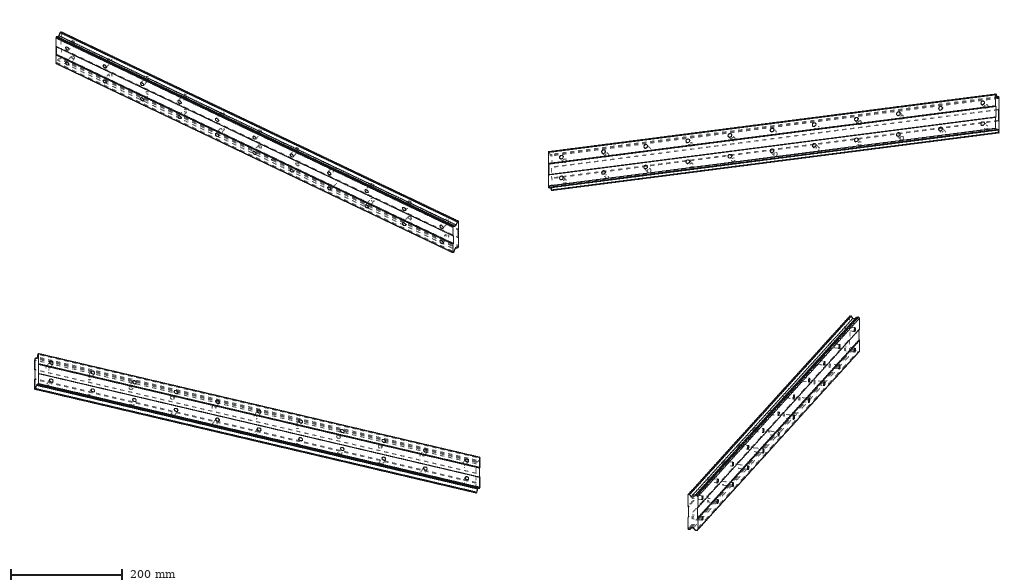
import cadquery as cq

length = 850.0
thickness = 19.0
height = 69.0

lip_thickness = 3.0
lip_chamfer = 1.0
groove_depth = 4.0
groove_floor_width = 4.0
groove_front_slope = 2.5
bead_flank_width = 4.0
bead_knee_width = 2.0
bead_knee_rise = 2.1
bead_chamfer_width = 2.0
bead_chamfer_drop = 2.1

channel_floor_width = 20.0
channel_depth = 1.0

hole_diameter = 7.0
hole_row_spacing = 40.0
hole_count = 11
hole_end_margin = 25.0
hole_pitch = (length - 2 * hole_end_margin) / (hole_count - 1)

front = -thickness / 2
rear = thickness / 2
top = height / 2


def upper_profile():
    """Upper half outline (Y, Z), from the front channel floor over the top edge to the rear one."""
    channel_floor_half = channel_floor_width / 2
    channel_mouth_half = channel_floor_half + channel_depth
    lip_rear = front + lip_thickness
    groove_floor = top - groove_depth
    floor_front = lip_rear + groove_front_slope
    floor_rear = floor_front + groove_floor_width
    return [
        (front + channel_depth, channel_floor_half),
        (front, channel_mouth_half),
        (front, top - lip_chamfer),
        (front + lip_chamfer, top),
        (lip_rear, top),
        (floor_front, groove_floor),
        (floor_rear, groove_floor),
        (floor_rear + bead_knee_width, groove_floor + bead_knee_rise),
        (floor_rear + bead_flank_width, top),
        (rear - bead_chamfer_width, top),
        (rear, top - bead_chamfer_drop),
        (rear, channel_mouth_half),
        (rear - channel_depth, channel_floor_half),
    ]


def make_bar():
    """Extrude the profile, symmetric about the mid-height plane, along X."""
    upper = upper_profile()
    lower = [(y, -z) for y, z in reversed(upper)]
    return (
        cq.Workplane("YZ")
        .polyline(upper + lower)
        .close()
        .extrude(length / 2, both=True)
    )


def drill_holes(bar):
    """Cut both rows of through holes, evenly spaced and centred along the bar."""
    drills = (
        cq.Workplane("XZ")
        .rarray(hole_pitch, hole_row_spacing, hole_count, 2)
        .circle(hole_diameter / 2)
        .extrude(thickness, both=True)
    )
    return bar.cut(drills)


result = drill_holes(make_bar())